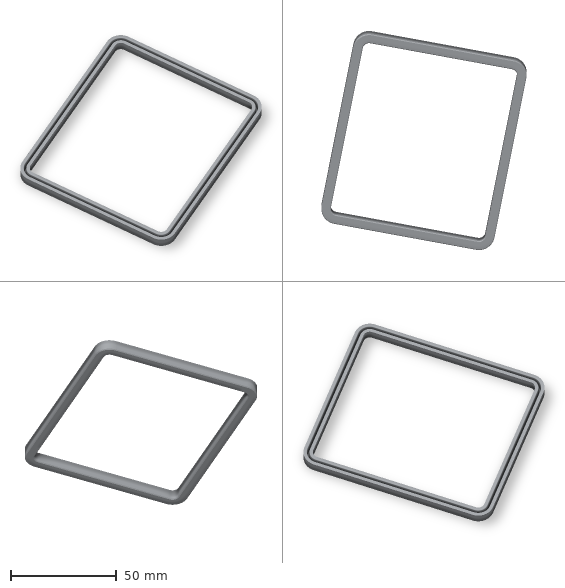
import cadquery as cq
import math

LENGTH_X = 83.0
LENGTH_Y = 95.0
HEIGHT = 5.5
WALL = 4.5
CORNER_RADIUS = 7.5
BOTTOM_CHAMFER = 0.4

MOUTH_WIDTH = 1.6
LIP_RADIUS = 0.25
GROOVE_DEPTH = 4.5
DRAFT = math.radians(3)


def wall_section():
    """Cross-section of the wall; local x runs from the outer side inward, local y is height."""
    half_wall = WALL / 2
    half_mouth = MOUTH_WIDTH / 2
    lip_end = half_mouth - LIP_RADIUS * math.cos(DRAFT)
    lip_end_height = HEIGHT - LIP_RADIUS + LIP_RADIUS * math.sin(DRAFT)
    mid_angle = (math.pi / 2 + DRAFT) / 2
    lip_middle = half_mouth - LIP_RADIUS * math.cos(mid_angle)
    lip_middle_height = HEIGHT - LIP_RADIUS + LIP_RADIUS * math.sin(mid_angle)
    floor_height = HEIGHT - GROOVE_DEPTH
    half_floor = lip_end - (lip_end_height - floor_height) * math.tan(DRAFT)

    section_plane = cq.Plane(
        origin=(0, -LENGTH_Y / 2 + half_wall, 0), xDir=(0, 1, 0), normal=(1, 0, 0)
    )
    return (
        cq.Workplane(section_plane)
        .moveTo(-half_wall + BOTTOM_CHAMFER, 0)
        .lineTo(half_wall - BOTTOM_CHAMFER, 0)
        .lineTo(half_wall, BOTTOM_CHAMFER)
        .lineTo(half_wall, HEIGHT)
        .lineTo(half_mouth, HEIGHT)
        .threePointArc((lip_middle, lip_middle_height), (lip_end, lip_end_height))
        .lineTo(half_floor, floor_height)
        .lineTo(-half_floor, floor_height)
        .lineTo(-lip_end, lip_end_height)
        .threePointArc((-lip_middle, lip_middle_height), (-half_mouth, HEIGHT))
        .lineTo(-half_wall, HEIGHT)
        .lineTo(-half_wall, BOTTOM_CHAMFER)
        .close()
    )


def wall_path():
    """Rounded rectangle along the middle of the wall, starting with the +X run along the -Y side."""
    half_x = (LENGTH_X - WALL) / 2
    half_y = (LENGTH_Y - WALL) / 2
    radius = CORNER_RADIUS - WALL / 2
    straight_x = half_x - radius
    straight_y = half_y - radius
    return (
        cq.Workplane("XY")
        .moveTo(-straight_x, -half_y)
        .lineTo(straight_x, -half_y)
        .tangentArcPoint((half_x, -straight_y), relative=False)
        .lineTo(half_x, straight_y)
        .tangentArcPoint((straight_x, half_y), relative=False)
        .lineTo(-straight_x, half_y)
        .tangentArcPoint((-half_x, straight_y), relative=False)
        .lineTo(-half_x, -straight_y)
        .tangentArcPoint((-straight_x, -half_y), relative=False)
        .close()
    )


result = wall_section().sweep(wall_path())